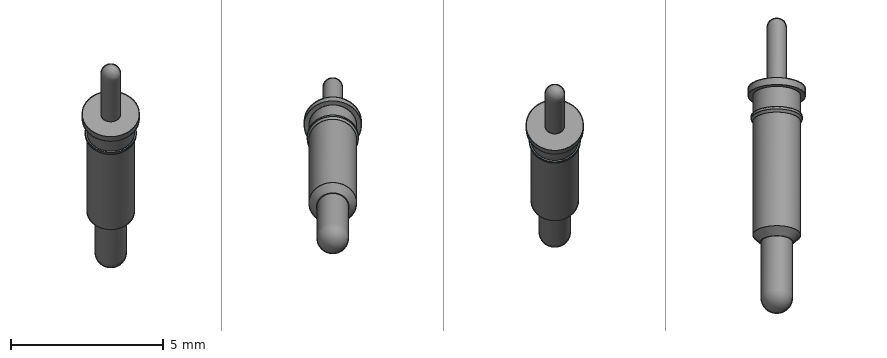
import cadquery as cq

overall_length = 10.48

flange_diameter = 1.88
flange_thickness = 0.25

tail_diameter = 0.65
tail_length = 2.5

barrel_diameter = 1.57
barrel_straight_length = 4.98
taper_height = 0.25

barb_diameter = 1.68
barb_top_depth = 0.74
barb_land_height = 0.09
barb_height = 0.18

plunger_diameter = 1.04

flange_radius = flange_diameter / 2
tail_radius = tail_diameter / 2
barrel_radius = barrel_diameter / 2
barb_radius = barb_diameter / 2
plunger_radius = plunger_diameter / 2

top_z = flange_thickness + tail_length
bottom_z = top_z - overall_length
barb_top_z = -barb_top_depth
taper_top_z = -barrel_straight_length
taper_bottom_z = taper_top_z - taper_height
taper_end_radius = barrel_radius - taper_height


def domed_rod(radius, start_z, tip_z):
    """Round rod on the Z axis from start_z to a hemispherical end at tip_z."""
    direction = 1 if tip_z > start_z else -1
    dome_base_z = tip_z - direction * radius
    diagonal = radius * 0.5 ** 0.5
    profile = (
        cq.Workplane("XZ")
        .moveTo(0, start_z)
        .lineTo(radius, start_z)
        .lineTo(radius, dome_base_z)
        .threePointArc((diagonal, dome_base_z + direction * diagonal), (0, tip_z))
        .close()
    )
    return profile.revolve(360, (0, 0, 0), (0, 1, 0))


def barrel_body():
    """Flange, barrel, press-fit barb and end taper as one turned body."""
    profile = (
        cq.Workplane("XZ")
        .moveTo(0, flange_thickness)
        .lineTo(flange_radius, flange_thickness)
        .lineTo(flange_radius, 0)
        .lineTo(barrel_radius, 0)
        .lineTo(barrel_radius, barb_top_z)
        .lineTo(barb_radius, barb_top_z)
        .lineTo(barb_radius, barb_top_z - barb_land_height)
        .lineTo(barrel_radius, barb_top_z - barb_height)
        .lineTo(barrel_radius, taper_top_z)
        .lineTo(taper_end_radius, taper_bottom_z)
        .lineTo(0, taper_bottom_z)
        .close()
    )
    return profile.revolve(360, (0, 0, 0), (0, 1, 0))


tail = domed_rod(tail_radius, flange_thickness, top_z)
plunger = domed_rod(plunger_radius, taper_bottom_z, bottom_z)
result = barrel_body().union(tail).union(plunger)